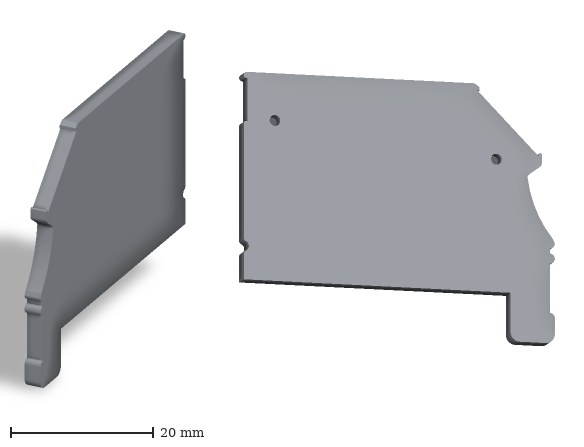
import cadquery as cq
import math

thickness = 2.5
length = 45.4
height = 36.7

lip_height = 0.9
lip_radius = 0.4
recess_depth = 0.55
recess_bottom = 29.65
recess_corner = 0.25
groove_level = 11.75
groove_radius = 0.73
groove_mouth_radius = 0.45

shoulder_u = 34.4
shoulder_arc_start_u = 33.5
shoulder_arc_middle = (33.75, 36.65)
shoulder_bevel_top = (33.95, 36.5)
shoulder_bevel_bottom = 36.2
shoulder_lip_height = 1.0
slope_top_u = 34.1
slope_end = (42.95, 26.8)
nose_u = 43.55
nose_top = 27.15
nose_bottom = 25.8
nose_arc_middle = (43.5, 25.5)
nose_arc_end = (43.3, 25.25)
nose_corner = 0.23

hollow_corner_start = (41.6, 23.95)
hollow_corner_middle = (41.45, 23.75)
hollow_top = (41.45, 23.43)
hollow_middle = (42.18, 20.25)
hollow_end = (45.15, 14.95)

neck_depth = 0.73
neck_u = length - neck_depth
upper_ridge_level = 14.3
lower_ridge_level = 12.1
foot_width = 6.45
foot_height = 6.95
foot_radius = 1.3
toe_top = 4.35

hole_radius = 0.75
hole_depth = 1.8
hole_centers = [(4.55, 29.9), (36.85, 25.95)]


def corner_arc(profile, center, radius, start_deg, end_deg, line_before=True):
    """Continue the profile along a circular arc, usually after a straight line to its start."""
    def at(angle):
        return (center[0] + radius * math.cos(math.radians(angle)),
                center[1] + radius * math.sin(math.radians(angle)))

    middle = at((start_deg + end_deg) / 2)
    if line_before:
        profile = profile.lineTo(*at(start_deg))
    return profile.threePointArc(middle, at(end_deg))


def add_top_and_shoulder(profile):
    profile = profile.lineTo(shoulder_arc_start_u, height)
    profile = profile.threePointArc(shoulder_arc_middle, shoulder_bevel_top)
    profile = profile.lineTo(shoulder_u, shoulder_bevel_bottom)
    profile = profile.lineTo(shoulder_u, height - shoulder_lip_height)
    profile = profile.lineTo(slope_top_u, height - shoulder_lip_height)
    profile = profile.lineTo(*slope_end)
    profile = corner_arc(profile, (nose_u - nose_corner, nose_top - nose_corner), nose_corner, 180, 0)
    profile = profile.lineTo(nose_u, nose_bottom)
    return profile.threePointArc(nose_arc_middle, nose_arc_end)


def add_hollow_and_ridges(profile):
    profile = profile.lineTo(*hollow_corner_start)
    profile = profile.threePointArc(hollow_corner_middle, hollow_top)
    profile = profile.threePointArc(hollow_middle, hollow_end)
    profile = profile.lineTo(length, upper_ridge_level)
    profile = corner_arc(profile, (neck_u, upper_ridge_level), neck_depth, 0, -90, line_before=False)
    return corner_arc(profile, (neck_u, lower_ridge_level), neck_depth, 90, -90)


def add_foot(profile):
    foot_back = length - foot_width
    profile = corner_arc(profile, (neck_u, toe_top - neck_depth), neck_depth, 90, 0)
    profile = corner_arc(profile, (length - foot_radius, foot_radius), foot_radius, 0, -90)
    profile = corner_arc(profile, (foot_back + foot_radius, foot_radius), foot_radius, 270, 180)
    return profile.lineTo(foot_back, foot_height).lineTo(0, foot_height)


def add_back_edge(profile):
    center_distance = groove_radius + groove_mouth_radius
    mouth_angle = math.degrees(math.acos(groove_mouth_radius / center_distance))
    mouth_offset = math.sqrt(center_distance**2 - groove_mouth_radius**2)
    profile = corner_arc(profile, (groove_mouth_radius, groove_level - mouth_offset),
                         groove_mouth_radius, 180, 180 - mouth_angle)
    profile = corner_arc(profile, (0, groove_level), groove_radius,
                         -mouth_angle, mouth_angle, line_before=False)
    profile = corner_arc(profile, (groove_mouth_radius, groove_level + mouth_offset),
                         groove_mouth_radius, 180 + mouth_angle, 180, line_before=False)
    profile = corner_arc(profile, (recess_corner, recess_bottom - recess_corner),
                         recess_corner, 180, 90)
    profile = profile.lineTo(recess_depth, recess_bottom)
    profile = profile.lineTo(recess_depth, height - lip_height)
    profile = corner_arc(profile, (lip_radius, height - lip_height + lip_radius), lip_radius, 270, 180)
    profile = corner_arc(profile, (lip_radius, height - lip_radius), lip_radius, 180, 90)
    return profile.close()


side_plane = cq.Plane(
    origin=(-thickness / 2, length / 2, -height / 2), xDir=(0, -1, 0), normal=(-1, 0, 0)
)

outline = cq.Workplane(side_plane).moveTo(lip_radius, height)
outline = add_top_and_shoulder(outline)
outline = add_hollow_and_ridges(outline)
outline = add_foot(outline)
outline = add_back_edge(outline)
plate = outline.extrude(-thickness)

holes = cq.Workplane(side_plane).pushPoints(hole_centers).circle(hole_radius).extrude(-hole_depth)
result = plate.cut(holes)